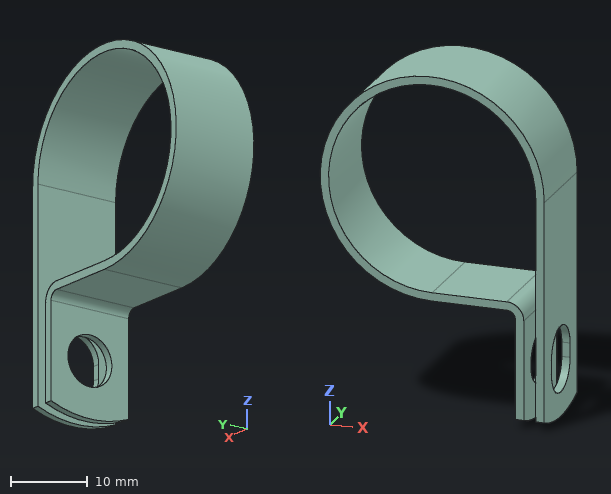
import cadquery as cq
import math

height = 47.2
loop_diameter = 31.0
width = 12.7
thickness = 1.2
leg_gap = 1.65
bend_inner_radius = 1.2
hole_diameter = 7.12
slot_length = 9.1
hole_height = 7.95
tip_sag = 1.25

outer_radius = loop_diameter / 2
inner_radius = outer_radius - thickness
bend_outer_radius = bend_inner_radius + thickness
tip_z = outer_radius - height
short_leg_outer_x = inner_radius - leg_gap
short_leg_inner_x = short_leg_outer_x - thickness
bend_x = short_leg_outer_x - bend_outer_radius
bend_z = -inner_radius - bend_outer_radius
hole_z = tip_z + hole_height
tip_radius = ((width / 2) ** 2 + tip_sag ** 2) / (2 * tip_sag)
diagonal = math.sqrt(0.5)


def make_strap():
    """Bent strip: long leg, three-quarter loop, flat shelf, bend and short leg."""
    return (
        cq.Workplane("XZ")
        .moveTo(outer_radius, tip_z)
        .lineTo(outer_radius, 0)
        .threePointArc((-outer_radius * diagonal, outer_radius * diagonal), (0, -outer_radius))
        .lineTo(bend_x, -outer_radius)
        .threePointArc(
            (bend_x + bend_inner_radius * diagonal, bend_z + bend_inner_radius * diagonal),
            (short_leg_inner_x, bend_z),
        )
        .lineTo(short_leg_inner_x, tip_z)
        .lineTo(short_leg_outer_x, tip_z)
        .lineTo(short_leg_outer_x, bend_z)
        .threePointArc(
            (bend_x + bend_outer_radius * diagonal, bend_z + bend_outer_radius * diagonal),
            (bend_x, -inner_radius),
        )
        .lineTo(0, -inner_radius)
        .threePointArc((-inner_radius * diagonal, inner_radius * diagonal), (inner_radius, 0))
        .lineTo(inner_radius, tip_z)
        .close()
        .extrude(width / 2, both=True)
    )


def make_side_outline():
    """Side silhouette with the rounded tips, as deep as the whole loop."""
    return (
        cq.Workplane("YZ", origin=(-outer_radius, 0, 0))
        .moveTo(-width / 2, outer_radius)
        .lineTo(-width / 2, tip_z + tip_sag)
        .radiusArc((0, tip_z), -tip_radius)
        .radiusArc((width / 2, tip_z + tip_sag), -tip_radius)
        .lineTo(width / 2, outer_radius)
        .close()
        .extrude(loop_diameter)
    )


def make_round_hole():
    """Cylinder through the short leg only."""
    return (
        cq.Workplane("YZ", origin=(short_leg_inner_x, 0, hole_z))
        .circle(hole_diameter / 2)
        .extrude(thickness)
    )


def make_slot():
    """Upright slot through the long leg, centred on the round hole."""
    return (
        cq.Workplane("YZ", origin=(inner_radius, 0, hole_z))
        .slot2D(slot_length, hole_diameter, 90)
        .extrude(thickness)
    )


result = (
    make_strap()
    .intersect(make_side_outline())
    .cut(make_round_hole())
    .cut(make_slot())
)